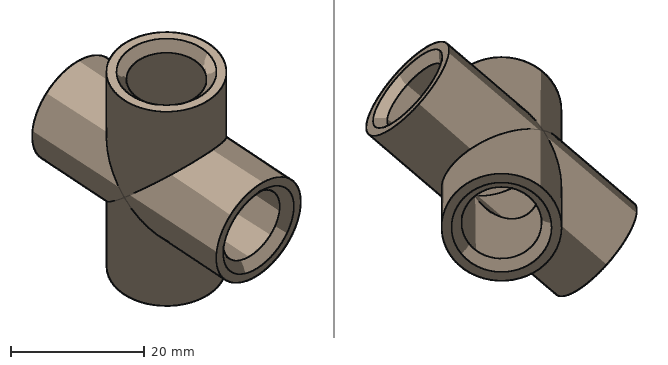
import cadquery as cq

length = 39.0
outer_diameter = 18.0
bore_diameter = 12.0
mouth_diameter = 15.0

mouth_depth = (mouth_diameter - bore_diameter) / 2
half_length = length / 2

TUBE_PLANES = ("XY", "YZ")


def tube_body(plane):
    """Solid cylinder centred on the origin, normal to the plane."""
    return cq.Workplane(plane).circle(outer_diameter / 2).extrude(half_length, both=True)


def tube_bore(plane):
    """Through bore with a conical mouth at both ends."""
    core = cq.Workplane(plane).circle(bore_diameter / 2).extrude(half_length, both=True)
    for side in (1, -1):
        mouth = (
            cq.Workplane(plane)
            .workplane(offset=side * half_length)
            .circle(mouth_diameter / 2)
            .workplane(offset=-side * mouth_depth)
            .circle(bore_diameter / 2)
            .loft(ruled=True)
        )
        core = core.union(mouth)
    return core


result = tube_body(TUBE_PLANES[0]).union(tube_body(TUBE_PLANES[1]))
for tube_plane in TUBE_PLANES:
    result = result.cut(tube_bore(tube_plane))